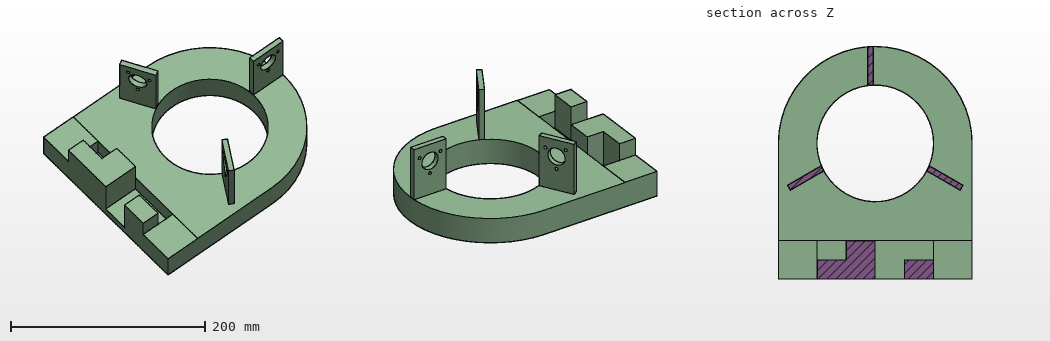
import cadquery as cq
import math

length = 240.0
width = 200.0
base_height = 29.3
outer_radius = width / 2
bore_radius = 60.0
front_y = outer_radius - length

cell_width = 30.0
row_depth = 20.0
step_height = 20.0
joint_tilt = 0.2
trim_stock = 2.5
step_z = base_height - step_height
joint_back_y = front_y + 2 * row_depth
row_split_y = front_y + row_depth

plate_height = 60.0
plate_thickness = 6.0
plate_offset = 2.0
plate_length = outer_radius - bore_radius
window_diameter = 20.0
window_drop = 20.0
screw_diameter = 3.4
screw_circle_radius = 15.0


def box_between(x_range, y_range, z_range):
    """Axis-aligned box spanning the given (low, high) ranges."""
    size = [high - low for low, high in (x_range, y_range, z_range)]
    corner = (x_range[0], y_range[0], z_range[0])
    return cq.Workplane("XY").box(*size, centered=False).translate(corner)


def make_ring_plate():
    """Rounded plate with the large central bore, ending where the joint strip begins."""
    return (
        cq.Workplane("XY")
        .moveTo(-outer_radius, joint_back_y)
        .lineTo(outer_radius, joint_back_y)
        .lineTo(outer_radius, 0)
        .threePointArc((0, outer_radius), (-outer_radius, 0))
        .close()
        .extrude(base_height)
        .cut(cq.Workplane("XY").circle(bore_radius).extrude(base_height))
    )


def make_joint():
    """Strip of teeth and pockets, tilted about Y and trimmed to the plate sides and underside."""
    front_row = (front_y, row_split_y)
    back_row = (row_split_y, joint_back_y)
    both_rows = (front_y, joint_back_y)
    pocket_z = (step_z, base_height)
    tooth_z = (base_height, base_height + step_height)
    half_strip = outer_radius + trim_stock

    strip = box_between((-half_strip, half_strip), both_rows, (-trim_stock, base_height))
    strip = strip.cut(box_between((-2 * cell_width, -cell_width), back_row, pocket_z))
    strip = strip.cut(box_between((0, cell_width), both_rows, pocket_z))
    strip = strip.cut(box_between((cell_width, 2 * cell_width), back_row, pocket_z))

    strip = strip.union(box_between((-2 * cell_width, 0), front_row, tooth_z))
    strip = strip.union(box_between((-cell_width, 0), back_row, tooth_z))
    strip = strip.union(box_between((cell_width, 2 * cell_width), front_row, tooth_z))

    pivot = (0, 0, base_height)
    strip = strip.rotate(pivot, (0, 1, base_height), joint_tilt)
    envelope = box_between((-outer_radius, outer_radius), both_rows, (0, base_height + plate_height))
    return strip.intersect(envelope)


def make_plate(radial_angle, side, screw_angles):
    """Drilled upright beside a radial line: side 1 is counterclockwise of it, -1 clockwise."""
    near_y = plate_offset if side > 0 else -plate_offset - plate_thickness
    plate = box_between(
        (bore_radius, outer_radius),
        (near_y, near_y + plate_thickness),
        (base_height, base_height + plate_height),
    )
    window_x = bore_radius + plate_length / 2
    window_z = base_height + plate_height - window_drop

    def drill(x, z, diameter):
        return (
            cq.Workplane("XZ", origin=(x, near_y + plate_thickness, z))
            .circle(diameter / 2)
            .extrude(plate_thickness)
        )

    plate = plate.cut(drill(window_x, window_z, window_diameter))
    for angle in screw_angles:
        x = window_x + screw_circle_radius * math.cos(math.radians(angle))
        z = window_z + screw_circle_radius * math.sin(math.radians(angle))
        plate = plate.cut(drill(x, z, screw_diameter))
    return plate.rotate((0, 0, 0), (0, 0, 1), radial_angle)


result = make_ring_plate().union(make_joint())

even_screws = (30, 150, 270)
shifted_screws = (45, 150, 270)
plates = ((90, 1, even_screws), (210, -1, shifted_screws), (330, 1, even_screws))
for radial_angle, side, screw_angles in plates:
    result = result.union(make_plate(radial_angle, side, screw_angles))